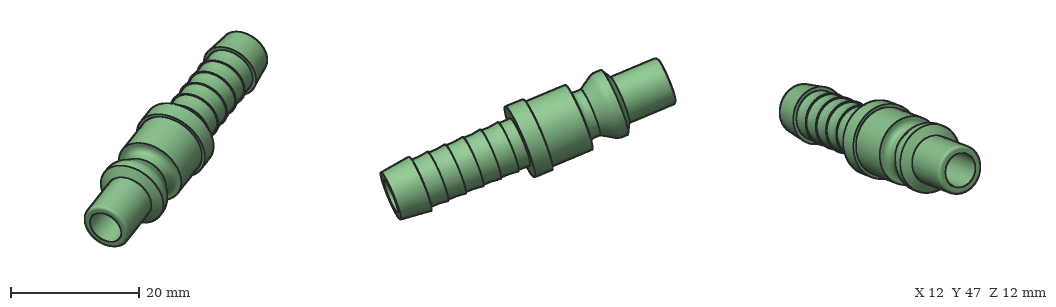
import cadquery as cq
import math


total_length = 47.0
bore_radius = 2.75

tip_radius = 3.9
tip_length = 8.0
tip_round = 0.5
body_radius = 5.5
bead_lead_angle = math.radians(60)
bead_cone_angle = math.radians(32)
bead_round = 2.2
neck_start = 13.0
neck_length = 1.0
neck_fillet = 1.0
body_length = 7.0

collar_radius = 6.0
collar_length = 3.0

tail_radius = 4.0
end_barb_radius = 4.6
end_barb_length = 5.0
small_barb_radius = 4.2
small_barb_length = 1.5
small_barb_pitch = 3.0
small_barb_count = 5
first_barb_offset = 2.0

bead_lead_end = tip_length + (body_radius - tip_radius) / math.tan(bead_lead_angle)
body_start = neck_start + neck_length + neck_fillet
collar_start = body_start + body_length
tail_start = collar_start + collar_length
end_barb_start = total_length - end_barb_length
first_barb_start = tail_start + first_barb_offset


def arc_point(center_radius, center_y, radius, angle):
    """Point on an arc in the radius-Y half plane, angle measured from the outward direction."""
    return (center_radius + radius * math.cos(angle), center_y + radius * math.sin(angle))


def add_plug_end(profile):
    """Trace the rounded tip, the locking bead and the filleted neck up to the body shoulder."""
    profile = profile.lineTo(tip_radius - tip_round, 0)
    tip_mid = arc_point(tip_radius - tip_round, tip_round, tip_round, math.radians(-45))
    profile = profile.threePointArc(tip_mid, (tip_radius, tip_round))
    profile = profile.lineTo(tip_radius, tip_length).lineTo(body_radius, bead_lead_end)

    round_center_radius = body_radius - bead_round
    round_end_radius = round_center_radius + bead_round * math.cos(bead_cone_angle)
    round_end_y = neck_start - (round_end_radius - tip_radius) / math.tan(bead_cone_angle)
    round_center_y = round_end_y - bead_round * math.sin(bead_cone_angle)
    round_mid = arc_point(round_center_radius, round_center_y, bead_round, bead_cone_angle / 2)
    profile = profile.lineTo(body_radius, round_center_y)
    profile = profile.threePointArc(round_mid, (round_end_radius, round_end_y))
    profile = profile.lineTo(tip_radius, neck_start)

    fillet_start_y = neck_start + neck_length
    fillet_center_radius = tip_radius + neck_fillet
    fillet_mid = arc_point(fillet_center_radius, fillet_start_y, neck_fillet, math.radians(135))
    profile = profile.lineTo(tip_radius, fillet_start_y)
    return profile.threePointArc(fillet_mid, (fillet_center_radius, body_start))


def add_body_and_collar(profile):
    """Trace the cylindrical body and the stop collar, ending at the root of the hose tail."""
    return (
        profile.lineTo(body_radius, body_start)
        .lineTo(body_radius, collar_start)
        .lineTo(collar_radius, collar_start)
        .lineTo(collar_radius, tail_start)
        .lineTo(tail_radius, tail_start)
    )


def add_barb(profile, start_y, crest_radius, length):
    """Trace a square step up to the barb crest and the taper down toward the hose end."""
    return (
        profile.lineTo(tail_radius, start_y)
        .lineTo(crest_radius, start_y)
        .lineTo(tail_radius, start_y + length)
    )


def add_hose_tail(profile):
    """Trace the row of small barbs and the large end barb."""
    for index in range(small_barb_count):
        barb_start = first_barb_start + index * small_barb_pitch
        profile = add_barb(profile, barb_start, small_barb_radius, small_barb_length)
    return add_barb(profile, end_barb_start, end_barb_radius, end_barb_length)


def make_plug():
    """Revolve the wall section between the bore and the outer profile."""
    profile = cq.Workplane("XY").moveTo(bore_radius, 0)
    profile = add_plug_end(profile)
    profile = add_body_and_collar(profile)
    profile = add_hose_tail(profile)
    section = profile.lineTo(bore_radius, total_length).close()
    return section.revolve(360, (0, 0, 0), (0, 1, 0))


result = make_plug()